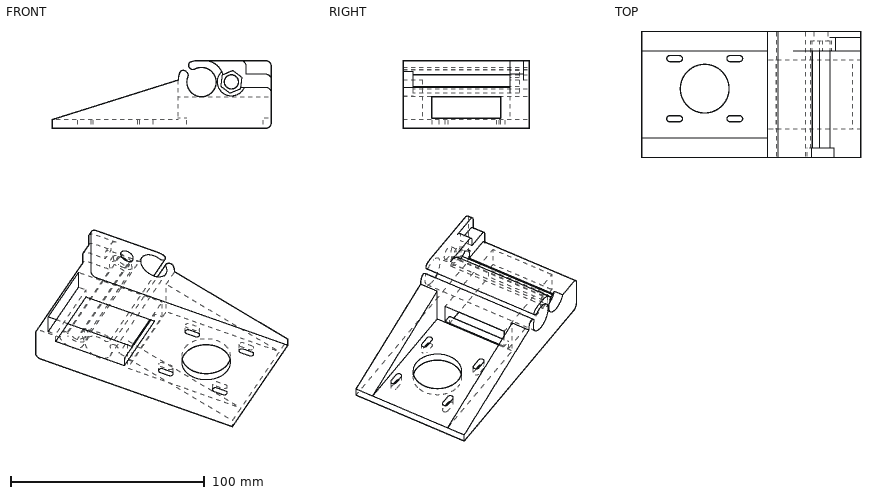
import cadquery as cq

length = 113.0
depth = 65.0
height = 35.0
corner_radius = 3.0

edge_margin = 0.1

plate_thickness = 4.6
front_edge_height = plate_thickness
rib_thickness = 10.0

clip_front_x = 65.0
clip_back_x = 88.4
clip_outer_radius = 10.0
clip_shoulder_z = height - clip_outer_radius
rod_x = 77.0
rod_z = 23.9
rod_radius = 7.5
slot_width = 2.5
slot_angle = 138.0
slot_tip_radius = 2.0

recess_floor_z = 21.2
end_wall_thickness = rib_thickness
end_wall_y = depth - end_wall_thickness

notch_x = 100.0
notch_floor_z = 28.0
notch_back_thickness = 3.0

screw_x = 92.4
screw_z = 24.0
screw_radius = 3.6
head_radius = 7.25
head_depth = 5.0
nut_corner_diameter = 11.8
nut_turn = 23.0
nut_depth_in_wall = 5.0

motor_x = clip_front_x / 2
motor_y = 35.5
motor_hole_diameter = 25.0
motor_screw_spacing = 31.0
motor_slot_length = 8.0
motor_slot_width = 3.0

window_width = 35.4
window_bottom_z = 5.3
window_top_z = 16.3
cavity_wall = 4.3


def box(x_range, y_range, z_range):
    """Box between the given limits along X, Y and Z."""
    sizes = [high - low for low, high in (x_range, y_range, z_range)]
    return cq.Workplane("XY").box(*sizes, centered=False).translate((x_range[0], y_range[0], z_range[0]))


def along_y(x, z):
    """Workplane on the front face (Y = 0) centred at (x, z); negative extrusions run toward +Y."""
    return cq.Workplane("XZ", origin=(x, 0, z))


def side_profile():
    """Wedge, clip block and end block extruded over the full depth."""
    profile = (
        cq.Workplane("XZ")
        .lineTo(length, 0)
        .lineTo(length, height)
        .lineTo(clip_front_x + clip_outer_radius, height)
        .radiusArc((clip_front_x, clip_shoulder_z), -clip_outer_radius)
        .lineTo(0, front_edge_height)
        .close()
        .extrude(-depth)
    )
    return profile.edges("|Y and >X").fillet(corner_radius)


def motor_pocket():
    """Space between the ribs, above the motor plate."""
    return box((0, clip_front_x), (rib_thickness, depth - rib_thickness), (plate_thickness, height))


def motor_cuts():
    """Centre hole and four slotted screw holes in the motor plate."""
    plate = cq.Workplane("XY").center(motor_x, motor_y)
    hole = plate.circle(motor_hole_diameter / 2).extrude(plate_thickness)
    slots = (
        plate.rect(motor_screw_spacing, motor_screw_spacing, forConstruction=True)
        .vertices()
        .slot2D(motor_slot_length, motor_slot_width)
        .extrude(plate_thickness)
    )
    return hole.union(slots)


def clip_bore_and_slot():
    """Rod bore and its slot, cut through the full depth."""
    bore = along_y(rod_x, rod_z).circle(rod_radius).extrude(-depth)
    slot_reach = 2 * rod_radius
    slot = (
        along_y(rod_x, rod_z)
        .transformed(rotate=(0, 0, slot_angle))
        .center(slot_reach / 2, 0)
        .rect(slot_reach, slot_width)
        .extrude(-depth)
    )
    return bore.union(slot)


def slot_tip_edges(body):
    """The four long edges where the slot meets the bore and the outside of the clip."""
    bounds = cq.selectors.BoxSelector(
        (clip_front_x + edge_margin, 0, rod_z + edge_margin),
        (rod_x - edge_margin, depth, height - edge_margin),
    )
    return body.edges("|Y").edges(bounds)


def recess():
    """Open space behind the clip, in front of the end wall."""
    space = box((clip_back_x - clip_outer_radius, length), (0, end_wall_y), (recess_floor_z, height))
    clip_back = (
        along_y(clip_back_x - clip_outer_radius, recess_floor_z)
        .lineTo(clip_outer_radius, 0)
        .lineTo(clip_outer_radius, clip_shoulder_z - recess_floor_z)
        .radiusArc((0, height - recess_floor_z), -clip_outer_radius)
        .close()
        .extrude(-end_wall_y)
    )
    return space.cut(clip_back)


def notch():
    """Step in the end wall that leaves a thin full-height sheet at the back."""
    return box((notch_x, length), (0, depth - notch_back_thickness), (notch_floor_z, height))


def step_edges(body):
    """Outer edges of the recess floor and notch floor, and the top edge of the notch wall."""
    floors = cq.selectors.BoxSelector(
        (length - edge_margin, 0, recess_floor_z - edge_margin),
        (length + edge_margin, depth, notch_floor_z + edge_margin),
    )
    wall_top = cq.selectors.BoxSelector(
        (notch_x - edge_margin, 0, height - edge_margin),
        (notch_x + edge_margin, depth, height + edge_margin),
    )
    return body.edges("|Y").edges(floors + wall_top)


def screw_cuts():
    """Through hole, hexagonal nut channel and counterbore on one axis."""
    hole = along_y(screw_x, screw_z).circle(screw_radius).extrude(-depth)
    channel = (
        along_y(screw_x, screw_z)
        .transformed(rotate=(0, 0, nut_turn))
        .polygon(6, nut_corner_diameter)
        .extrude(-(end_wall_y + nut_depth_in_wall))
    )
    head = along_y(screw_x, screw_z).circle(head_radius).extrude(-head_depth)
    return hole.union(channel).union(head)


def window_and_cavity():
    """Window along X through the block, opened downward between its end walls."""
    y_range = ((depth - window_width) / 2, (depth + window_width) / 2)
    window = box((clip_front_x, length), y_range, (window_bottom_z, window_top_z))
    cavity = box((clip_front_x + cavity_wall, length - cavity_wall), y_range, (0, window_top_z))
    return window.union(cavity)


holder = side_profile().cut(clip_bore_and_slot())
holder = slot_tip_edges(holder).fillet(slot_tip_radius)
holder = holder.cut(motor_pocket()).cut(motor_cuts())
holder = holder.cut(recess()).cut(notch())
holder = step_edges(holder).fillet(corner_radius)
holder = holder.cut(screw_cuts()).cut(window_and_cavity())

result = cq.Compound.makeCompound([holder.val()])